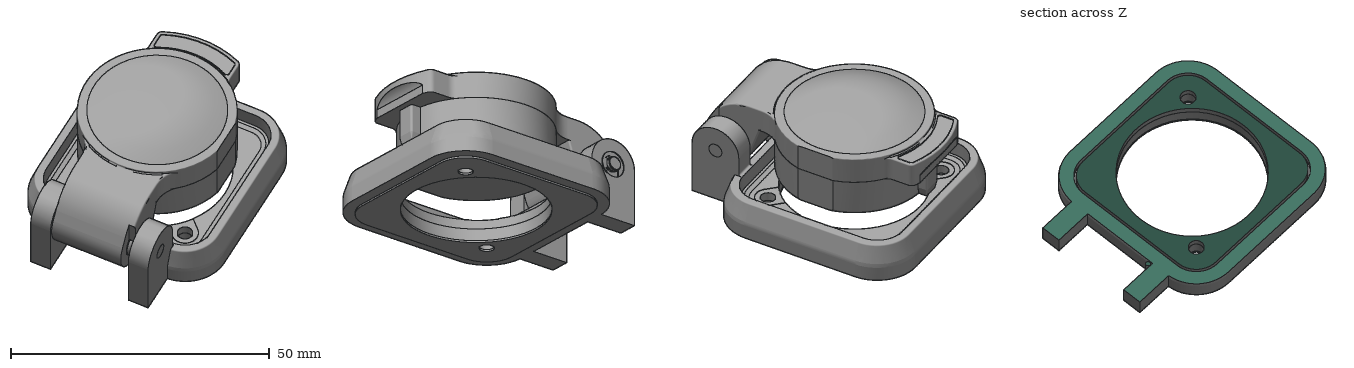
import cadquery as cq
import math

base_width = 41.55
base_corner = 8.5
wall_straight = 3.4
base_height = 7.45
wall_draft = 19.0
crease_radius = 2.5
rim_round = 0.35
tray_inset = 3.05
tray_floor = 2.5
opening_radius = 14.65

gasket_inset = 2.35
gasket_thickness = 0.4

liner_gap = 0.4
liner_top = 4.8
liner_ledge = 0.6
liner_slope = 0.9
liner_drop = 0.35

screw_offset = 12.2
screw_radius = 1.5
pad_radius = 2.6
pad_depth = 0.1

hinge_y = -23.7
hinge_z = 11.6
lug_radius = 5.25
lug_inner = 8.45
lug_outer = 12.7
lug_blend = 0.4

pin_radius = 1.45
pin_projection = 0.6
pin_chamfer = 0.15

clip_thickness = 0.4
clip_depth = 0.2
clip_radius = 2.65
clip_groove_radius = 1.1
clip_mouth_drop = 1.0
clip_relief_radius = 1.9
clip_relief_width = 1.0
clip_relief_angle = 40

lid_radius = 15.45
lid_flat = 14.95
lid_bottom = 16.3
lid_top = 21.8
lid_edge_round = 0.2
lid_step_round = 0.25
dome_radius = 13.6
dome_top = 25.45

arm_top = 21.25
arm_half_width = 8.25
arm_flare = 6.0
arm_bend_y = -18.6
arm_bend_radius = 10.0
arm_edge_round = 0.35
arm_root_y = -16.3
barrel_radius = 5.41

tab_half_width = 8.9
tab_radius = 20.1
tab_flat_y = 18.8
tab_lip_bottom = 19.8
tab_undercut_bottom = 18.1
tab_corner = 1.25
tab_rim_start = 12.45
tab_flare = 2.15
tab_edge_round = 0.3
panel_half_width = 8.1
panel_outer = 19.25
panel_inner = 16.05
panel_depth = 0.2
panel_corner = 0.5

plug_bottom = 8.9
plug_edge_height = 0.4
plug_edge_width = 0.1
key_half_width = 2.0
key_y = 17.45
key_round = 0.45
key_bevel_length = 1.7

wire_radius = 0.525
coil_radius = 2.4
coil_pitch = 1.15
coil_turns = 3
coil_bore = 3.0
coil_bore_depth = 4.5
leg_x = 7.9
leg_bottom = 1.6
notch_x = 6.9
notch_y = -25.55

wall_rise = base_height - wall_straight
clip_outer_x = -lug_outer + clip_depth
clip_inner_x = clip_outer_x + clip_thickness
margin = 10.0
near = 0.05


def rounded_square(inset, bottom, height, taper=0.0):
    """Block with the base's outline moved inward by inset."""
    width = base_width - 2 * inset
    outline = cq.Sketch().rect(width, width).vertices().fillet(base_corner - inset)
    return cq.Workplane("XY").workplane(offset=bottom).placeSketch(outline).extrude(height, taper=taper)


def disc(radius, bottom, top, x=0.0, y=0.0):
    return cq.Workplane("XY", origin=(x, y, bottom)).circle(radius).extrude(top - bottom)


def hinge_cylinder(radius, start, end):
    """Cylinder along the hinge axis from x = start to x = end."""
    plane = cq.Plane(origin=(start, hinge_y, hinge_z), xDir=(0, 1, 0), normal=(1, 0, 0))
    return cq.Workplane(plane).circle(radius).extrude(end - start)


def box(x_range, y_range, z_range):
    size = [high - low for low, high in (x_range, y_range, z_range)]
    return cq.Workplane("XY").box(*size, centered=False).translate((x_range[0], y_range[0], z_range[0]))


def cut_openings(body):
    """Socket opening and the two screw holes through base, liner and gasket."""
    body = body.cut(disc(opening_radius, -margin, margin))
    for side in (-1, 1):
        body = body.cut(disc(screw_radius, -margin, margin, side * screw_offset, -side * screw_offset))
    return body


def make_lug(side):
    lug = hinge_cylinder(lug_radius, lug_inner, lug_outer).union(
        box((lug_inner, lug_outer), (hinge_y - lug_radius, hinge_y + lug_radius), (0, hinge_z))
    )
    return lug if side > 0 else lug.mirror("YZ")


def blend_lug_backs(body):
    """Round the inside corner where the back of each lug rises from the rim."""
    back_y = hinge_y + lug_radius
    foot = cq.selectors.BoxSelector(
        (-lug_outer, back_y - near, base_height - near), (lug_outer, back_y + near, base_height + near)
    )
    return body.edges(foot).edges("|X").fillet(lug_blend)


def make_frame():
    """Solid block with an upright foot, a leaning upper wall and a rounded rim."""
    block = rounded_square(0, 0, wall_straight)
    block = block.union(rounded_square(0, wall_straight, wall_rise, wall_draft))
    block = block.faces(">Z").edges().fillet(rim_round)
    crease = cq.selectors.BoxSelector(
        (-base_width, -base_width, wall_straight - near), (base_width, base_width, wall_straight + near)
    )
    return block.edges(crease).fillet(crease_radius)


def make_base():
    body = make_frame().cut(rounded_square(tray_inset, tray_floor, margin))
    body = cut_openings(body)
    for side in (-1, 1):
        body = body.union(make_lug(side))
    body = blend_lug_backs(body)
    body = body.cut(hinge_cylinder(pin_radius, -lug_outer, lug_outer))
    return body.cut(hinge_cylinder(clip_radius, -lug_outer, clip_inner_x))


def make_pad_recess():
    """Recess around the screw at -X +Y, open toward the socket opening."""
    reach = screw_offset * math.sqrt(2)
    recess = disc(pad_radius, 0, margin, x=reach)
    recess = recess.union(box((0, reach), (-pad_radius, pad_radius), (0, margin)))
    floor = liner_top - liner_drop - pad_depth
    return recess.rotate((0, 0, 0), (0, 0, 1), 135).translate((0, 0, floor))


def make_liner():
    outer_inset = tray_inset + liner_gap
    body = rounded_square(outer_inset, tray_floor, liner_top - tray_floor)
    dish_angle = math.degrees(math.atan2(liner_slope, liner_drop))
    dish = rounded_square(outer_inset + liner_ledge, 0, liner_drop, dish_angle)
    dish = dish.rotate((0, 0, 0), (1, 0, 0), 180).translate((0, 0, liner_top))
    body = body.cut(dish)
    recess = make_pad_recess()
    body = body.cut(recess).cut(recess.rotate((0, 0, 0), (0, 0, 1), 180))
    return cut_openings(body)


def make_gasket():
    return cut_openings(rounded_square(gasket_inset, -gasket_thickness, gasket_thickness))


def tangent_point(centre, radius, angle):
    return (centre[0] + radius * math.cos(angle), centre[1] + radius * math.sin(angle))


def make_arm():
    """Arm bending down from the lid to the hinge barrel, outlined in the YZ plane."""
    barrel = (hinge_y, hinge_z)
    bend = (arm_bend_y, arm_top - arm_bend_radius)
    dy, dz = barrel[0] - bend[0], barrel[1] - bend[1]
    outer = math.atan2(dz, dy) - math.acos((arm_bend_radius - barrel_radius) / math.hypot(dy, dz))
    outer = outer % (2 * math.pi)
    root = (arm_root_y, lid_bottom)
    dy, dz = root[0] - barrel[0], root[1] - barrel[1]
    inner = math.atan2(dz, dy) - math.acos(barrel_radius / math.hypot(dy, dz))
    inner = inner + 2 * math.pi
    profile = (
        cq.Workplane("YZ", origin=(-arm_half_width, 0, 0))
        .moveTo(0, lid_bottom)
        .lineTo(0, arm_top)
        .lineTo(arm_bend_y, arm_top)
        .threePointArc(
            tangent_point(bend, arm_bend_radius, (math.pi / 2 + outer) / 2),
            tangent_point(bend, arm_bend_radius, outer),
        )
        .lineTo(*tangent_point(barrel, barrel_radius, outer))
        .threePointArc(
            tangent_point(barrel, barrel_radius, (outer + inner) / 2),
            tangent_point(barrel, barrel_radius, inner),
        )
        .lineTo(*root)
        .close()
    )
    return profile.extrude(2 * arm_half_width)


def make_flare(half_width, radius, height, direction):
    """Concave web blending a straight side at +half_width into the round lid."""
    y = direction * math.sqrt((lid_radius + radius) ** 2 - (half_width + radius) ** 2)
    centre_x = half_width + radius
    touch = lid_radius / (lid_radius + radius)
    web = (
        cq.Workplane("XY", origin=(0, 0, lid_bottom))
        .polyline([(0, 0), (centre_x * touch, y * touch), (centre_x, y), (half_width, y), (0, y)])
        .close()
        .extrude(height)
    )
    return web.cut(disc(radius, lid_bottom, lid_top, centre_x, y))


def ring_sector(outer, half_width, bottom, top):
    """Part of a disc between x = -half_width and +half_width on the +Y side."""
    strip = box((-half_width, half_width), (0, margin + outer), (bottom, top))
    return disc(outer, bottom, top).intersect(strip)


def make_finger_grip():
    """Scoop along X that leaves a lip above a flat face on the underside of the tab."""
    mid_y = (tab_radius + 2 * tab_flat_y) / 3
    mid_z = (tab_lip_bottom + tab_undercut_bottom) / 2
    return (
        cq.Workplane("YZ", origin=(-tab_half_width, 0, 0))
        .moveTo(tab_flat_y, lid_bottom)
        .lineTo(tab_flat_y, tab_undercut_bottom)
        .threePointArc((mid_y, mid_z), (tab_radius, tab_lip_bottom))
        .lineTo(tab_radius, lid_bottom)
        .close()
        .extrude(2 * tab_half_width)
    )


def make_tab():
    blank = ring_sector(tab_radius, tab_half_width, lid_bottom, arm_top)
    blank = blank.edges("|Z").edges(">Y").fillet(tab_corner)
    for side in (1, -1):
        flare = make_flare(tab_half_width, tab_flare, arm_top - lid_bottom, 1)
        blank = blank.union(flare if side > 0 else flare.mirror("YZ"))
    rim = [edge for edge in blank.faces(">Z").edges().vals() if edge.BoundingBox().ymax > tab_rim_start]
    blank = blank.newObject(rim).fillet(tab_edge_round)
    return blank.cut(make_finger_grip())


def make_label_panel():
    panel = ring_sector(panel_outer, panel_half_width, arm_top - panel_depth, arm_top + panel_depth)
    panel = panel.cut(disc(panel_inner, arm_top - panel_depth, arm_top + panel_depth))
    return panel.edges("|Z").fillet(panel_corner)


def make_dome():
    rise = dome_top - lid_top
    sphere_radius = (dome_radius**2 + rise**2) / (2 * rise)
    ball = cq.Workplane("XY").sphere(sphere_radius).translate((0, 0, dome_top - sphere_radius))
    return ball.intersect(disc(lid_radius, lid_top, dome_top + 0.5))


def make_spring_notch():
    """Room for the spring: open front, slot for its leg, and a bore for its coil."""
    reach = (notch_x, arm_half_width + 0.5)
    notch = box(reach, (hinge_y - margin, notch_y), (0, lid_top))
    notch = notch.union(box(reach, (hinge_y - margin, hinge_y + coil_bore), (0, hinge_z)))
    return notch.union(hinge_cylinder(coil_bore, arm_half_width - coil_bore_depth, arm_half_width + 0.5))


def round_arm_rim(arm):
    """Round both side outlines of the arm, from one flare round the barrel to the root."""
    rim = []
    for edge in arm.edges("not |X").edges("not |Z").vals():
        bounds = edge.BoundingBox()
        on_side = bounds.ymin < -lid_radius and abs(edge.Center().x) > arm_half_width - near
        on_lid_underside = bounds.zmin > lid_bottom - near and bounds.zmax < lid_bottom + near
        if on_side and not on_lid_underside:
            rim.append(edge)
    return arm.newObject(rim).fillet(arm_edge_round)


def make_step_cove():
    """Concave ring in the corner where the round lid stands above the arm and the tab."""
    size = lid_step_round
    ring = disc(lid_radius + size, arm_top, arm_top + size).cut(disc(dome_radius, arm_top, lid_top))
    ring = ring.cut(cq.Solid.makeTorus(lid_radius + size, size, cq.Vector(0, 0, arm_top + size)))
    arm_reach = arm_half_width - arm_edge_round
    tab_reach = tab_half_width - tab_edge_round
    span = box((-arm_reach, arm_reach), (-2 * lid_radius, 0), (0, lid_top))
    return ring.intersect(span.union(box((-tab_reach, tab_reach), (0, 2 * lid_radius), (0, lid_top))))


def make_lid():
    arm = make_arm()
    for side in (1, -1):
        flare = make_flare(arm_half_width, arm_flare, arm_top - lid_bottom, -1)
        arm = arm.union(flare if side > 0 else flare.mirror("YZ"))
    lid = disc(lid_radius, lid_bottom, lid_top).faces(">Z").edges().fillet(lid_edge_round)
    lid = lid.union(round_arm_rim(arm)).union(make_tab())
    lid = lid.union(make_step_cove()).union(make_dome())
    lid = lid.cut(box((lid_flat, lid_flat + margin), (-margin, margin), (0, dome_top)))
    lid = lid.cut(make_label_panel()).cut(make_spring_notch())
    return lid.cut(hinge_cylinder(pin_radius, -lug_outer, lug_outer))


def make_plug():
    plug = disc(lid_radius, plug_bottom, lid_bottom)
    plug = plug.faces("<Z").chamfer(plug_edge_height, plug_edge_width)
    plug = plug.cut(box((lid_flat, lid_flat + margin), (-margin, margin), (0, lid_bottom)))
    key = box((-key_half_width, key_half_width), (0, key_y), (plug_bottom, lid_bottom))
    key = key.edges("|Z").edges(">Y").fillet(key_round)
    key = key.faces("<Z").edges(">Y").chamfer(plug_edge_height, key_bevel_length)
    return plug.union(key)


def make_pin():
    pin = hinge_cylinder(pin_radius, -lug_outer - pin_projection, lug_outer)
    pin = pin.faces("<X").edges().chamfer(pin_chamfer)
    groove = hinge_cylinder(pin_radius + 0.5, clip_outer_x, clip_inner_x)
    return pin.cut(groove.cut(hinge_cylinder(clip_groove_radius, clip_outer_x, clip_inner_x)))


def make_clip():
    """Retaining clip in the pin's groove, open at the bottom, with two reliefs above."""
    span = (clip_outer_x, clip_inner_x)
    clip = hinge_cylinder(clip_radius, *span).cut(hinge_cylinder(clip_groove_radius, *span))
    mouth = box(span, (hinge_y - pin_radius, hinge_y + pin_radius), (0, hinge_z - clip_mouth_drop))
    clip = clip.cut(mouth)
    relief_half = clip_relief_width / 2
    relief = hinge_cylinder(clip_relief_radius, *span).intersect(
        box(span, (hinge_y - relief_half, hinge_y + relief_half), (hinge_z, lid_top))
    )
    for angle in (-clip_relief_angle, clip_relief_angle):
        clip = clip.cut(relief.rotate((0, hinge_y, hinge_z), (1, hinge_y, hinge_z), angle))
    return clip


def make_spring():
    """Coil around the pin with one straight leg running down in front of the base."""
    length = coil_pitch * coil_turns
    path = cq.Workplane(cq.Wire.makeHelix(coil_pitch, length, coil_radius, lefthand=True))
    coil = cq.Workplane("XZ", origin=(coil_radius, 0, 0)).circle(wire_radius).sweep(path, isFrenet=True)
    coil = coil.rotate((0, 0, 0), (0, 0, 1), 90).rotate((0, 0, 0), (0, 1, 0), 90)
    coil = coil.translate((leg_x - length, hinge_y, hinge_z))
    leg_y = hinge_y + coil_radius
    joint = cq.Workplane("XY").sphere(wire_radius).translate((leg_x, leg_y, hinge_z))
    return coil.union(joint).union(disc(wire_radius, leg_bottom, hinge_z, leg_x, leg_y))


base = make_base()
gasket = make_gasket()
liner = make_liner()
lid = make_lid()
plug = make_plug()
pin = make_pin()
clip = make_clip()
spring = make_spring()

result = cq.Compound.makeCompound(
    [base.val(), gasket.val(), liner.val(), lid.val(), plug.val(), pin.val(), clip.val(), spring.val()]
)